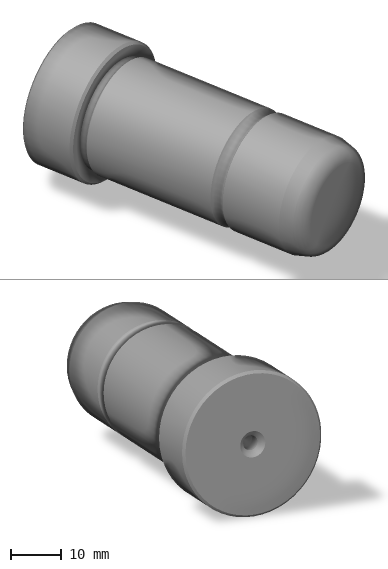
import cadquery as cq
import math

total_length = 65.0
head_length = 12.0
head_radius = 30.0 / 2
body_radius = 25.0 / 2
head_chamfer = 0.5

undercut_radius = 24.05 / 2
undercut_end = 13.4
shoulder_end = 13.9

groove_start = 43.55
groove_lowest = 45.0
groove_end = 46.5
groove_depth = 0.7

nose_round = 3.0
taper_angle = math.radians(15)
taper_start = 59.9

centre_mouth_radius = 5.4 / 2
centre_pilot_radius = 3.05 / 2
centre_half_angle = math.radians(45)
pilot_length = 2.6
drill_tip_half_angle = math.radians(60)


def groove_arc_middle(edge_x):
    """Middle point of the arc from a groove edge to the lowest circle, level at the bottom."""
    half_width = edge_x - groove_lowest
    arc_radius = (half_width**2 + groove_depth**2) / (2 * groove_depth)
    half_sweep = math.asin(half_width / arc_radius) / 2
    return (
        groove_lowest + arc_radius * math.sin(half_sweep),
        body_radius - groove_depth + arc_radius * (1 - math.cos(half_sweep)),
    )


def make_pin():
    """Revolve the outer profile about the X axis."""
    arc_centre_x = total_length - nose_round
    taper_end = arc_centre_x + nose_round * math.sin(taper_angle)
    taper_end_radius = body_radius - (taper_end - taper_start) * math.tan(taper_angle)
    arc_centre_radius = taper_end_radius - nose_round * math.cos(taper_angle)
    arc_middle_angle = (math.pi / 2 + taper_angle) / 2
    arc_middle = (
        arc_centre_x + nose_round * math.sin(arc_middle_angle),
        arc_centre_radius + nose_round * math.cos(arc_middle_angle),
    )
    groove_bottom = (groove_lowest, body_radius - groove_depth)

    profile = (
        cq.Workplane("XY")
        .lineTo(0, head_radius - head_chamfer)
        .lineTo(head_chamfer, head_radius)
        .lineTo(head_length - head_chamfer, head_radius)
        .lineTo(head_length, head_radius - head_chamfer)
        .lineTo(head_length, undercut_radius)
        .lineTo(undercut_end, undercut_radius)
        .lineTo(shoulder_end, body_radius)
        .lineTo(groove_start, body_radius)
        .threePointArc(groove_arc_middle(groove_start), groove_bottom)
        .threePointArc(groove_arc_middle(groove_end), (groove_end, body_radius))
        .lineTo(taper_start, body_radius)
        .lineTo(taper_end, taper_end_radius)
        .threePointArc(arc_middle, (total_length, arc_centre_radius))
        .lineTo(total_length, 0)
        .close()
    )
    return profile.revolve(360, (0, 0, 0), (1, 0, 0))


def make_centre_drilling():
    """Countersunk pilot hole with a conical drill tip."""
    cone_depth = (centre_mouth_radius - centre_pilot_radius) / math.tan(centre_half_angle)
    pilot_end = cone_depth + pilot_length
    tip_end = pilot_end + centre_pilot_radius / math.tan(drill_tip_half_angle)
    profile = (
        cq.Workplane("XY")
        .lineTo(0, centre_mouth_radius)
        .lineTo(cone_depth, centre_pilot_radius)
        .lineTo(pilot_end, centre_pilot_radius)
        .lineTo(tip_end, 0)
        .close()
    )
    return profile.revolve(360, (0, 0, 0), (1, 0, 0))


result = make_pin().cut(make_centre_drilling())